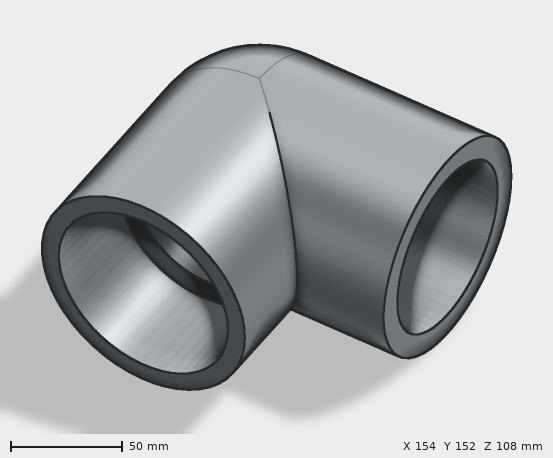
import cadquery as cq

outer_diameter = 108.0
bore_diameter = 67.9
socket_diameter_x = 84.9
socket_diameter_y = 90.0
socket_depth_y = 51.0
length_x = 154.0
length_y = 152.0

outer_radius = outer_diameter / 2
bore_radius = bore_diameter / 2
arm_x = length_x - outer_radius
arm_y = length_y - outer_radius

bend_radius = arm_y - socket_depth_y
socket_depth_x = arm_x - bend_radius


def make_body():
    """Two round arms along +X and -Y, joined by a ball at the corner."""
    along_x = cq.Workplane("YZ").circle(outer_radius).extrude(arm_x)
    along_y = cq.Workplane("XZ").circle(outer_radius).extrude(arm_y)
    corner = cq.Workplane("XY").sphere(outer_radius)
    return along_x.union(along_y).union(corner)


def make_bend():
    """Quarter-turn bore, tangent to both arm axes at the socket floors."""
    start = cq.Workplane("XZ", origin=(0, -bend_radius, 0)).circle(bore_radius)
    return start.revolve(90, (bend_radius, 0, 0), (bend_radius, -1, 0))


def make_socket(plane, mouth_centre, diameter, depth):
    """Round pipe socket sunk into the open end of an arm."""
    mouth = cq.Workplane(plane, origin=mouth_centre).circle(diameter / 2)
    return mouth.extrude(-depth)


socket_x = make_socket("YZ", (arm_x, 0, 0), socket_diameter_x, socket_depth_x)
socket_y = make_socket("XZ", (0, -arm_y, 0), socket_diameter_y, socket_depth_y)

result = make_body().cut(make_bend()).cut(socket_x).cut(socket_y)